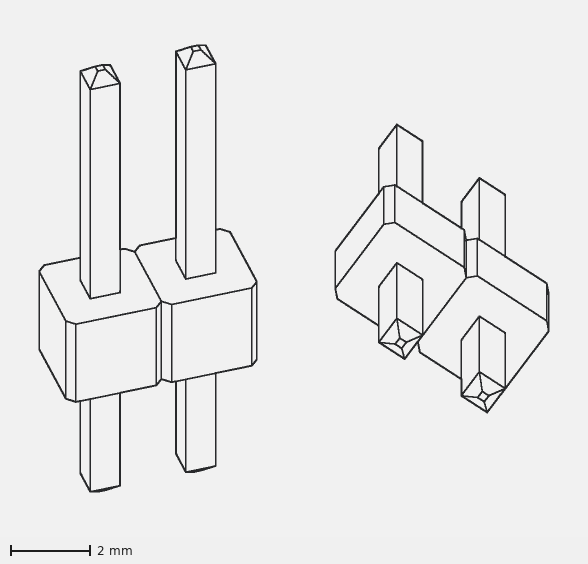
import cadquery as cq

cell_count = 2
pitch = 2.54
block_height = 2.5
corner_chamfer = 0.2

pin_length = 13.5
pin_width = 0.8
pin_below_block = 4.0
tip_length = 0.3
tip_width = 0.2


def make_block():
    """Square block standing on Z = 0 with chamfered vertical edges."""
    block = cq.Workplane("XY").rect(pitch, pitch).extrude(block_height)
    return block.edges("|Z").chamfer(corner_chamfer)


def make_pin():
    """Square pin along Z with a tapered tip at both ends."""
    bottom = -pin_below_block
    shaft_bottom = bottom + tip_length
    shaft_top = bottom + pin_length - tip_length
    shaft = (
        cq.Workplane("XY", origin=(0, 0, shaft_bottom))
        .rect(pin_width, pin_width)
        .extrude(shaft_top - shaft_bottom)
    )
    for shaft_end, direction in ((shaft_bottom, -1), (shaft_top, 1)):
        tip = (
            cq.Workplane("XY", origin=(0, 0, shaft_end))
            .rect(pin_width, pin_width)
            .workplane(offset=direction * tip_length)
            .rect(tip_width, tip_width)
            .loft(ruled=True)
        )
        shaft = shaft.union(tip)
    return shaft


def make_cell(y_center):
    """One header cell: a block and its pin as a single solid."""
    return make_block().union(make_pin()).translate((0, y_center, 0))


first_cell_y = -pitch * (cell_count - 1) / 2
cells = [make_cell(first_cell_y + index * pitch) for index in range(cell_count)]

result = cq.Compound.makeCompound([cell.val() for cell in cells])